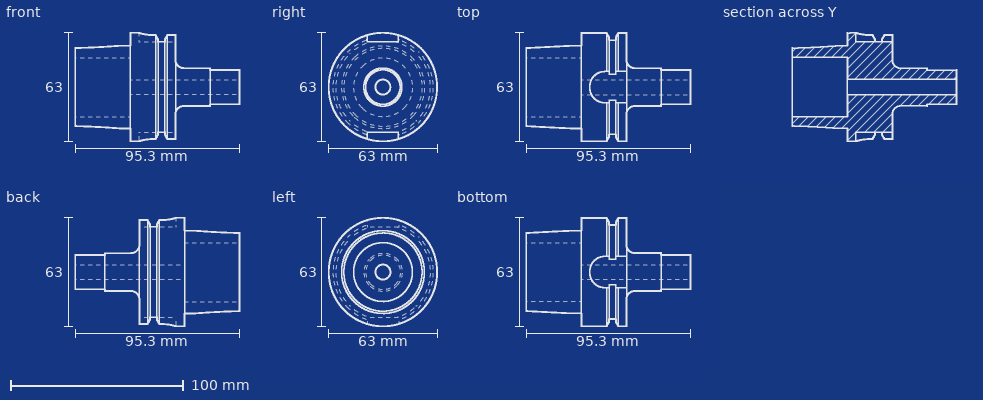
import cadquery as cq
import math

taper_end = 25.7
flange_start = 31.9
groove_start = 46.6
groove_end = 53.4
flange_end = 58.1
pilot_start = 78.1
total_length = 95.3

taper_tip_radius = 22.7
taper_base_radius = 24.0
flange_diameter = 63.0
flange_radius = flange_diameter / 2
groove_radius = 27.35
groove_chamfer = 1.4
groove_chamfer_angle = 60
neck_radius = 11.1
pilot_radius = 10.0
neck_fillet = 4.8

socket_radius = 17.1
socket_depth = flange_start
through_radius = 4.3

slot_width = 18.1
slot_start = 36.9
slot_end_radius = 8.6
slot_floor = 26.3
cut_clearance = 1.0


def revolved_body():
    groove_lip_radius = flange_radius - groove_chamfer * math.tan(math.radians(groove_chamfer_angle))
    fillet_mid = neck_fillet * (1 - math.sqrt(0.5))
    profile = (
        cq.Workplane("XY")
        .moveTo(0, 0)
        .lineTo(0, taper_tip_radius)
        .lineTo(taper_end, taper_base_radius)
        .lineTo(flange_start, taper_base_radius)
        .lineTo(flange_start, flange_radius)
        .lineTo(groove_start, flange_radius)
        .lineTo(groove_start + groove_chamfer, groove_lip_radius)
        .lineTo(groove_start + groove_chamfer, groove_radius)
        .lineTo(groove_end - groove_chamfer, groove_radius)
        .lineTo(groove_end - groove_chamfer, groove_lip_radius)
        .lineTo(groove_end, flange_radius)
        .lineTo(flange_end, flange_radius)
        .lineTo(flange_end, neck_radius + neck_fillet)
        .threePointArc(
            (flange_end + fillet_mid, neck_radius + fillet_mid),
            (flange_end + neck_fillet, neck_radius),
        )
        .lineTo(pilot_start, neck_radius)
        .lineTo(pilot_start, pilot_radius)
        .lineTo(total_length, pilot_radius)
        .lineTo(total_length, 0)
        .close()
    )
    return profile.revolve(360, (0, 0, 0), (1, 0, 0))


def bore(radius, depth):
    return cq.Workplane("YZ").circle(radius).extrude(depth)


def drive_slot():
    length = flange_end - slot_start
    slot = (
        cq.Workplane("XY", origin=(slot_start + length / 2, 0, slot_floor))
        .rect(length, slot_width)
        .extrude(flange_radius - slot_floor + cut_clearance)
    )
    return slot.edges("|Z and <X").fillet(slot_end_radius)


result = revolved_body().cut(bore(socket_radius, socket_depth)).cut(bore(through_radius, total_length))
top_slot = drive_slot()
for slot in (top_slot, top_slot.mirror("XY")):
    result = result.cut(slot)